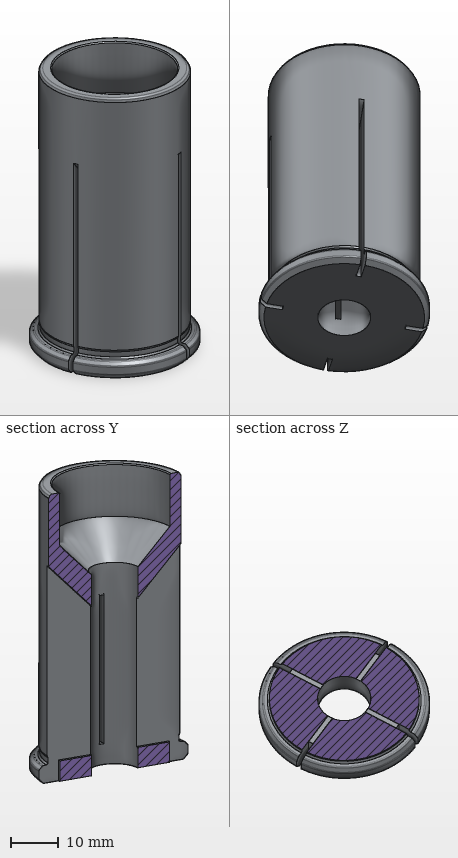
import cadquery as cq

height = 64.0
body_radius = 32.0 / 2
rim_taper_height = 0.8
rim_taper_width = 0.45
rim_round = 0.65

neck_radius = 15.8
neck_top = 5.95
neck_taper_height = 0.45
neck_base_chamfer = 0.4

flange_radius = 36.0 / 2
flange_height = 4.0
flange_top_chamfer = 0.9
flange_bottom_chamfer = 1.1
flange_round = 0.45

bore_radius = 26.5 / 2
bore_depth = 11.7
bore_chamfer = 0.25
hole_radius = 11.15 / 2
bore_bottom = height - bore_depth
cone_bottom = bore_bottom - (bore_radius - hole_radius)

slot_count = 4
slot_width = 1.1
slot_top = 48.0
slot_floor = 4.6
notch_inner_radius = bore_radius


def make_sleeve():
    """Revolve the wall section of the sleeve about Z."""
    return (
        cq.Workplane("XZ")
        .moveTo(hole_radius, 0)
        .lineTo(flange_radius - flange_bottom_chamfer, 0)
        .lineTo(flange_radius, flange_bottom_chamfer)
        .lineTo(flange_radius, flange_height - flange_top_chamfer)
        .lineTo(flange_radius - flange_top_chamfer, flange_height)
        .lineTo(neck_radius + neck_base_chamfer, flange_height)
        .lineTo(neck_radius, flange_height + neck_base_chamfer)
        .lineTo(neck_radius, neck_top - neck_taper_height)
        .lineTo(body_radius, neck_top)
        .lineTo(body_radius, height - rim_taper_height)
        .lineTo(body_radius - rim_taper_width, height)
        .lineTo(bore_radius + bore_chamfer, height)
        .lineTo(bore_radius, height - bore_chamfer)
        .lineTo(bore_radius, bore_bottom)
        .lineTo(hole_radius, cone_bottom)
        .close()
        .revolve(360, (0, 0, 0), (0, 1, 0))
    )


def round_circle(body, radius, level, fillet_radius):
    """Fillet the circular edge of the given radius lying at the given level."""
    tolerance = 0.05
    edges = body.edges(
        cq.selectors.BoxSelector(
            (-radius - tolerance, -radius - tolerance, level - tolerance),
            (radius + tolerance, radius + tolerance, level + tolerance),
            boundingbox=True,
        )
    ).filter(lambda edge: edge.geomType() == "CIRCLE" and abs(edge.radius() - radius) < tolerance)
    return edges.fillet(fillet_radius)


def make_slot():
    """Radial slot along +X: a 45 degree upper end, stepping out to a flange notch below."""
    return (
        cq.Workplane("XZ")
        .moveTo(0, slot_floor)
        .lineTo(notch_inner_radius, slot_floor)
        .lineTo(notch_inner_radius, 0)
        .lineTo(flange_radius, 0)
        .lineTo(flange_radius, slot_top)
        .lineTo(body_radius, slot_top)
        .lineTo(0, slot_top - body_radius)
        .close()
        .extrude(slot_width / 2, both=True)
    )


result = make_sleeve()
result = round_circle(result, body_radius - rim_taper_width, height, rim_round)
result = round_circle(result, flange_radius - flange_top_chamfer, flange_height, flange_round)
result = round_circle(result, flange_radius, flange_height - flange_top_chamfer, flange_round)
result = round_circle(result, flange_radius, flange_bottom_chamfer, flange_round)

slot = make_slot()
for index in range(slot_count):
    angle = index * 360 / slot_count
    result = result.cut(slot.rotate((0, 0, 0), (0, 0, 1), angle))